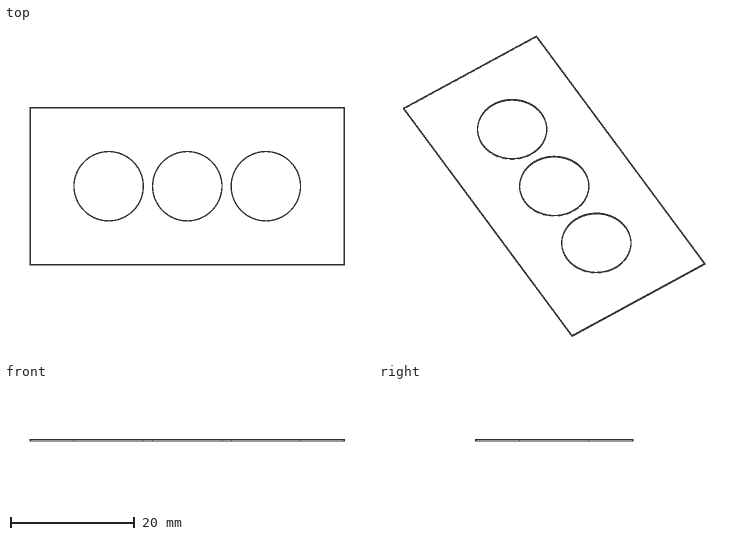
import cadquery as cq

length = 50.8
width = length / 2
thickness = 0.25

hole_count = 3
hole_diameter = 11.2
hole_pitch = length / 4

plate = cq.Workplane("XY").box(length, width, thickness)

result = (
    plate.faces(">Z")
    .workplane()
    .rarray(hole_pitch, 0.5, hole_count, 1)
    .hole(hole_diameter)
)